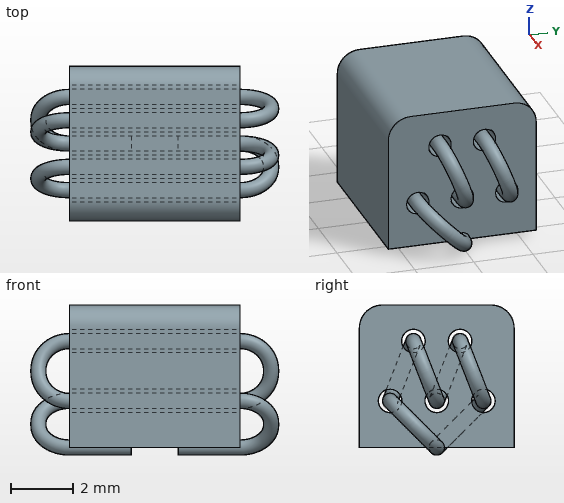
import cadquery as cq

CORE_LENGTH = 5.5
CORE_WIDTH = 5.0
CORE_HEIGHT = 4.6
CORNER_RADIUS = 0.75

HOLE_DIAMETER = 0.75
HOLE_PITCH = 0.75
LOWER_ROW_Z = 1.5
UPPER_ROW_Z = 3.43

WIRE_DIAMETER = 0.5
BEND_RADIUS = 1.0
LEAD_GAP = 1.5

HALF_LENGTH = CORE_LENGTH / 2

HOLES = [
    (2 * HOLE_PITCH, LOWER_ROW_Z),
    (HOLE_PITCH, UPPER_ROW_Z),
    (0, LOWER_ROW_Z),
    (-HOLE_PITCH, UPPER_ROW_Z),
    (-2 * HOLE_PITCH, LOWER_ROW_Z),
]
LEAD = (0, 0)


def make_core():
    core = cq.Workplane("XY").box(CORE_LENGTH, CORE_WIDTH, CORE_HEIGHT, centered=(True, True, False))
    core = core.edges("|X and >Z").fillet(CORNER_RADIUS)
    holes = (
        cq.Workplane("YZ", origin=(-HALF_LENGTH, 0, 0))
        .pushPoints(HOLES)
        .circle(HOLE_DIAMETER / 2)
        .extrude(CORE_LENGTH)
    )
    return core.cut(holes)


def loop_edges(side, start, end):
    """Turn outside one end face: two quarter bends joined by a short straight.

    side is -1 for the -X face and +1 for the +X face.
    """
    start_point = cq.Vector(side * HALF_LENGTH, *start)
    end_point = cq.Vector(side * HALF_LENGTH, *end)
    outward = cq.Vector(side, 0, 0)
    across = (end_point - start_point).normalized()

    def bend(origin, inward):
        centre = origin + inward * BEND_RADIUS
        middle = centre + (outward - inward).normalized() * BEND_RADIUS
        return middle, centre + outward * BEND_RADIUS

    first_middle, first_tip = bend(start_point, across)
    last_middle, last_tip = bend(end_point, across * -1)
    return [
        cq.Edge.makeThreePointArc(start_point, first_middle, first_tip),
        cq.Edge.makeLine(first_tip, last_tip),
        cq.Edge.makeThreePointArc(last_tip, last_middle, end_point),
    ]


def straight_edge(start_x, end_x, position):
    return cq.Edge.makeLine(cq.Vector(start_x, *position), cq.Vector(end_x, *position))


def make_winding():
    side = -1
    position = LEAD
    edges = [straight_edge(side * LEAD_GAP / 2, side * HALF_LENGTH, LEAD)]
    for hole in HOLES:
        edges += loop_edges(side, position, hole)
        edges.append(straight_edge(side * HALF_LENGTH, -side * HALF_LENGTH, hole))
        side = -side
        position = hole
    edges += loop_edges(side, position, LEAD)
    edges.append(straight_edge(side * HALF_LENGTH, side * LEAD_GAP / 2, LEAD))

    path = cq.Workplane(cq.Wire.assembleEdges(edges))
    section = cq.Workplane("YZ", origin=(-LEAD_GAP / 2, *LEAD)).circle(WIRE_DIAMETER / 2)
    return section.sweep(path)


result = make_core().union(make_winding())